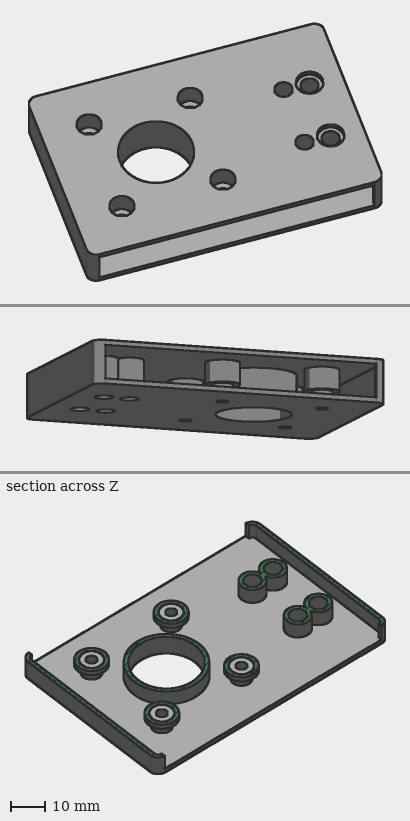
import cadquery as cq

width = 60.0
length = 90.5
height = 13.0
corner_radius = 3.0
wall = 1.5

motor_y = -15.1
motor_bore_diameter = 22.2
motor_screw_pitch = 31.0
motor_screw_diameter = 3.4
motor_head_diameter = 7.3
motor_head_boss_bottom = 5.0
motor_head_seat = motor_head_boss_bottom + wall

mount_pitch_x = 20.0
mount_pitch_y = 8.0
mount_outer_y = 35.25
mount_inner_y = mount_outer_y - mount_pitch_y
mount_hole_diameter = 5.3
mount_head_diameter = 8.0
mount_head_depth = wall

motor_bore_point = [(0, motor_y)]
motor_screw_points = [
    (side_x * motor_screw_pitch / 2, motor_y + side_y * motor_screw_pitch / 2)
    for side_x in (-1, 1)
    for side_y in (-1, 1)
]
mount_outer_points = [(side * mount_pitch_x / 2, mount_outer_y) for side in (-1, 1)]
mount_inner_points = [(side * mount_pitch_x / 2, mount_inner_y) for side in (-1, 1)]
mount_points = mount_outer_points + mount_inner_points


def cylinders(points, diameter, bottom, top):
    """Vertical cylinders of one diameter, from height bottom to height top."""
    base = cq.Workplane("XY").workplane(offset=bottom)
    return base.pushPoints(points).circle(diameter / 2).extrude(top - bottom)


def boss_diameter(hole_diameter):
    """Outer diameter of the boss that surrounds a hole."""
    return hole_diameter + 2 * wall


def rounded_block(size_x, size_y, bottom, top, radius):
    """Block centred in plan with rounded vertical edges, from height bottom to height top."""
    base = cq.Workplane("XY").workplane(offset=bottom)
    block = base.rect(size_x, size_y).extrude(top - bottom)
    return block.edges("|Z").fillet(radius)


def make_shell():
    """Thin-walled rounded box whose straight long sides are open between the corner posts."""
    outside = rounded_block(width, length, 0, height, corner_radius)
    cavity = rounded_block(
        width - 2 * wall, length - 2 * wall, wall, height - wall, corner_radius - wall
    )
    openings = cq.Workplane("XY").workplane(offset=wall).box(
        width, length - 2 * corner_radius, height - 2 * wall, centered=(True, True, False)
    )
    return outside.cut(cavity).cut(openings)


def add_bosses(body):
    """Bosses bridging the passage around every hole, wider at the motor screw heads."""
    for points, hole_diameter in (
        (motor_bore_point, motor_bore_diameter),
        (motor_screw_points, motor_screw_diameter),
        (mount_points, mount_hole_diameter),
    ):
        body = body.union(cylinders(points, boss_diameter(hole_diameter), 0, height))
    head_bosses = cylinders(
        motor_screw_points, boss_diameter(motor_head_diameter), motor_head_boss_bottom, height
    )
    return body.union(head_bosses)


def cut_holes(body):
    """Through holes, plus the counterbores sunk from the top face."""
    for points, diameter, bottom in (
        (motor_bore_point, motor_bore_diameter, 0),
        (motor_screw_points, motor_screw_diameter, 0),
        (motor_screw_points, motor_head_diameter, motor_head_seat),
        (mount_points, mount_hole_diameter, 0),
        (mount_outer_points, mount_head_diameter, height - mount_head_depth),
    ):
        body = body.cut(cylinders(points, diameter, bottom, height))
    return body


result = cut_holes(add_bosses(make_shell()))